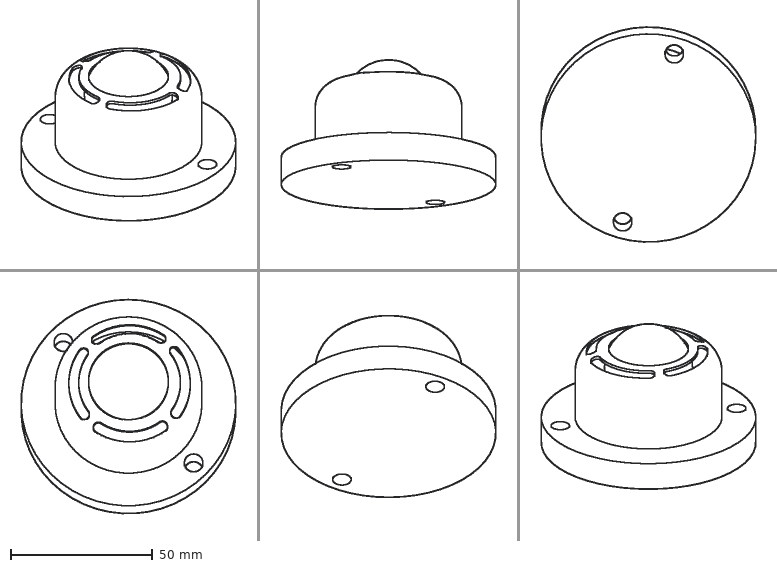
import cadquery as cq
import math

flange_diameter = 76.0
flange_thickness = 10.0
mount_hole_diameter = 6.5
mount_hole_offset = 32.0

overall_height = 45.0
cup_radius = 26.0
cup_top = 37.0
shoulder_radius = 9.0
wall = 1.0
opening_radius = 14.1

slot_count = 4
slot_track_radius = 19.75
slot_ring_offset = 0.5
slot_width = 3.5
slot_end_angle = 9.8

cap_height = overall_height - (cup_top - wall)
ball_radius = (opening_radius**2 + cap_height**2) / (2 * cap_height)
floor_height = overall_height - 2 * ball_radius


def domed_cylinder(radius, bottom, top, shoulder):
    """Upright cylinder with a rounded upper rim."""
    return (
        cq.Workplane("XY", origin=(0, 0, bottom))
        .circle(radius)
        .extrude(top - bottom)
        .faces(">Z")
        .edges()
        .fillet(shoulder)
    )


def polar_point(radius, angle):
    turn = math.radians(angle)
    return (radius * math.cos(turn), radius * math.sin(turn))


def make_slot():
    """Cutter for one curved, round-ended slot in the first quadrant."""
    inner = slot_track_radius - slot_width / 2
    outer = slot_track_radius + slot_width / 2
    start = slot_end_angle
    middle = 45
    end = 90 - slot_end_angle
    cap_angle = math.degrees(slot_width / 2 / slot_track_radius)
    cutter_bottom = cup_top - shoulder_radius
    return (
        cq.Workplane("XY", origin=(0, 0, cutter_bottom))
        .moveTo(*polar_point(outer, start))
        .threePointArc(polar_point(outer, middle), polar_point(outer, end))
        .threePointArc(polar_point(slot_track_radius, end + cap_angle), polar_point(inner, end))
        .threePointArc(polar_point(inner, middle), polar_point(inner, start))
        .threePointArc(polar_point(slot_track_radius, start - cap_angle), polar_point(outer, start))
        .close()
        .extrude(shoulder_radius)
    )


def make_housing():
    """Flange and hollow domed cup in one piece."""
    flange = cq.Workplane("XY").circle(flange_diameter / 2).extrude(flange_thickness)
    cup = domed_cylinder(cup_radius, 0, cup_top, shoulder_radius)
    cavity = domed_cylinder(cup_radius - wall, floor_height, cup_top - wall, shoulder_radius - wall)
    opening = (
        cq.Workplane("XY", origin=(0, 0, floor_height))
        .circle(opening_radius)
        .extrude(cup_top - floor_height)
    )
    mount_holes = (
        cq.Workplane("XY")
        .pushPoints([(-mount_hole_offset, 0), (mount_hole_offset, 0)])
        .circle(mount_hole_diameter / 2)
        .extrude(flange_thickness)
    )
    body = flange.union(cup).cut(cavity).cut(opening).cut(mount_holes)
    slot = make_slot()
    for index in range(slot_count):
        turned_slot = slot.rotate((0, 0, 0), (0, 0, 1), index * 360 / slot_count)
        body = body.cut(turned_slot.translate((slot_ring_offset, 0, 0)))
    return body


def make_ball():
    return cq.Workplane("XY", origin=(0, 0, overall_height - ball_radius)).sphere(ball_radius)


housing = make_housing()
ball = make_ball()
result = cq.Compound.makeCompound([housing.val(), ball.val()])